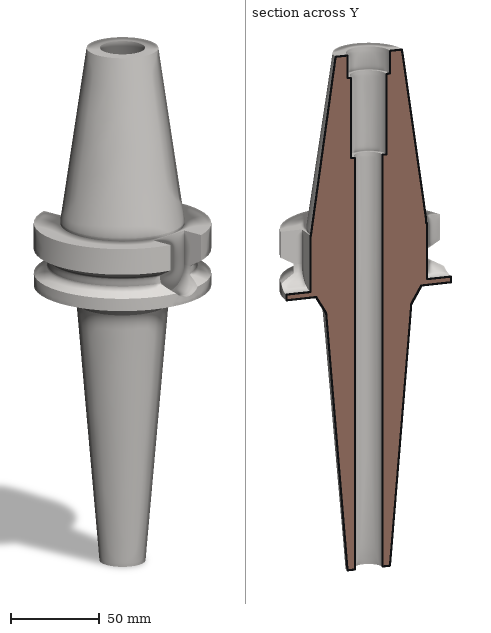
import cadquery as cq
import math

total_height = 301.8
gauge_z = 200.0
flange_top_z = 198.5
flange_bottom_z = 162.0

shank_top_radius = 20.2
gauge_radius = 35.0

flange_diameter = 100.0
flange_radius = flange_diameter / 2
groove_radius = 42.3
upper_rim_height = 15.0
lower_rim_height = 7.2
groove_side_angle = 30.0
groove_corner_radius = 1.0
groove_side_height = (flange_radius - groove_radius) * math.tan(math.radians(groove_side_angle))
groove_top_z = flange_top_z - upper_rim_height
groove_bottom_z = flange_bottom_z + lower_rim_height

flare_top_radius = 32.0
flare_height = 10.0
nose_top_radius = 26.0
nose_tip_radius = 13.0
nose_top_z = flange_bottom_z - flare_height

keyway_width = 25.7
keyway_floor_distance = 35.3
keyway_bottom_z = 165.7

through_bore_radius = 8.0
counterbores = [(12.7, 13.3), (10.5, 60.5)]


def round_groove_corners(body):
    """Fillet the two circular edges at the floor of the V-groove."""
    groove_floor = cq.selectors.BoxSelector(
        (-flange_radius, -flange_radius, groove_bottom_z + groove_side_height / 2),
        (flange_radius, flange_radius, groove_top_z - groove_side_height / 2),
        boundingbox=True,
    )
    return body.edges(groove_floor).edges("%CIRCLE").fillet(groove_corner_radius)


def make_body():
    """Revolve the outer half profile about Z."""
    profile = (
        cq.Workplane("XZ")
        .moveTo(0, 0)
        .lineTo(nose_tip_radius, 0)
        .lineTo(nose_top_radius, nose_top_z)
        .lineTo(flare_top_radius, flange_bottom_z)
        .lineTo(flange_radius, flange_bottom_z)
        .lineTo(flange_radius, groove_bottom_z)
        .lineTo(groove_radius, groove_bottom_z + groove_side_height)
        .lineTo(groove_radius, groove_top_z - groove_side_height)
        .lineTo(flange_radius, groove_top_z)
        .lineTo(flange_radius, flange_top_z)
        .lineTo(gauge_radius, flange_top_z)
        .lineTo(gauge_radius, gauge_z)
        .lineTo(shank_top_radius, total_height)
        .lineTo(0, total_height)
        .close()
    )
    body = profile.revolve(360, (0, 0, 0), (0, 1, 0))
    return round_groove_corners(body)


def make_keyway(side):
    """Round-bottomed cutter for one side of the flange: -1 for -X, +1 for +X."""
    half_width = keyway_width / 2
    arc_center_z = keyway_bottom_z + half_width
    return (
        cq.Workplane("YZ", origin=(side * keyway_floor_distance, 0, 0))
        .moveTo(-half_width, gauge_z)
        .lineTo(-half_width, arc_center_z)
        .threePointArc((0, keyway_bottom_z), (half_width, arc_center_z))
        .lineTo(half_width, gauge_z)
        .close()
        .extrude(side * flange_radius)
    )


def make_bore(radius, depth):
    """Cylinder cutter reaching down from the shank end."""
    return cq.Workplane("XY").workplane(offset=total_height - depth).circle(radius).extrude(depth)


result = make_body()
for side in (-1, 1):
    result = result.cut(make_keyway(side))
result = result.cut(make_bore(through_bore_radius, total_height))
for radius, depth in counterbores:
    result = result.cut(make_bore(radius, depth))